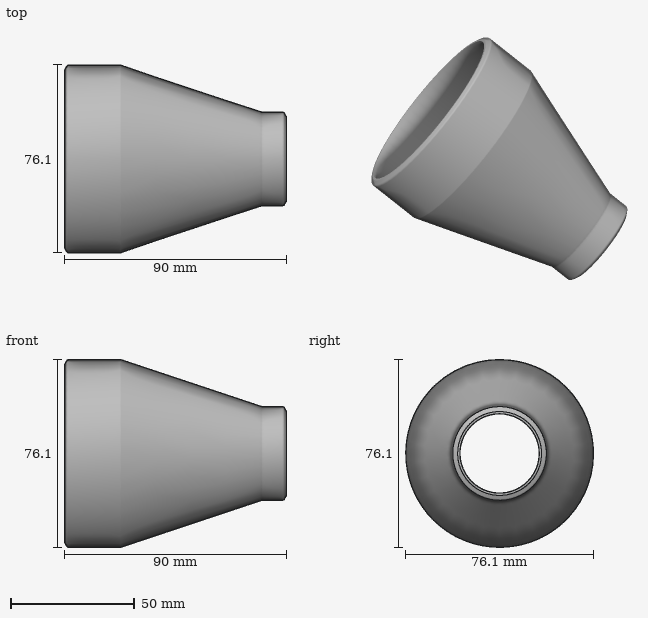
import cadquery as cq
import math

length = 90.0
large_diameter = 76.1
large_bore = 70.3
small_diameter = 38.0
small_bore = 32.0

large_collar = 22.8
small_collar = 10.0

large_bore_depth = 14.8
small_bore_depth = 18.2

land = 1.0
bevel_angle = 30.0
edge_round = 1.0

large_radius = large_diameter / 2
small_radius = small_diameter / 2
large_bore_radius = large_bore / 2
small_bore_radius = small_bore / 2
cone_end = length - small_collar


def bevel_length(outer_radius, bore_radius):
    """Axial length of a bevel running from the land to the outer wall."""
    return (outer_radius - bore_radius - land) * math.tan(math.radians(bevel_angle))


large_bevel = bevel_length(large_radius, large_bore_radius)
small_bevel = bevel_length(small_radius, small_bore_radius)


def revolve_about_axis(half_section):
    return half_section.close().revolve(360, (0, 0, 0), (1, 0, 0))


body = revolve_about_axis(
    cq.Workplane("XZ")
    .lineTo(0, large_bore_radius + land)
    .lineTo(large_bevel, large_radius)
    .lineTo(large_collar, large_radius)
    .lineTo(cone_end, small_radius)
    .lineTo(length - small_bevel, small_radius)
    .lineTo(length, small_bore_radius + land)
    .lineTo(length, 0)
)

between_ends = cq.selectors.BoxSelector(
    (large_bevel / 2, -large_diameter, -large_diameter),
    (length - small_bevel / 2, large_diameter, large_diameter),
)
body = body.edges("%CIRCLE").edges(between_ends).fillet(edge_round)

bore = revolve_about_axis(
    cq.Workplane("XZ")
    .lineTo(0, large_bore_radius)
    .lineTo(large_bore_depth, large_bore_radius)
    .lineTo(length - small_bore_depth, small_bore_radius)
    .lineTo(length, small_bore_radius)
    .lineTo(length, 0)
)

result = body.cut(bore)